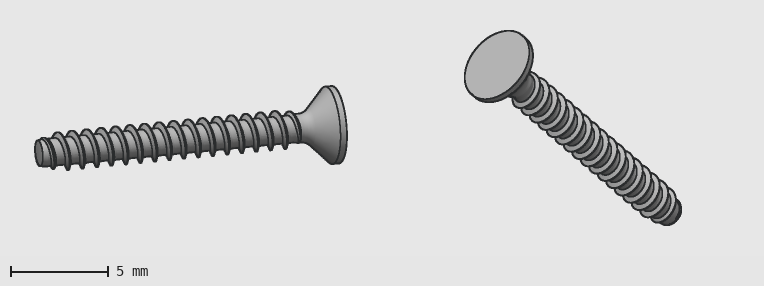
import cadquery as cq
import math

length = 16.0
head_diameter = 4.0

rim_height = 0.35
cone_slope = 45.0
neck_radius = 0.75
neck_fillet = 0.75
neck_end = 2.08
neck_taper = 0.25

core_diameter = 1.42
tip_radius = 0.67
tip_taper = 0.25
dome_height = 0.05

thread_start = 1.57
thread_end = 16.0
thread_turns = 18.5
ramp_turns = 1.5
start_angle = 90.0
crest_diameter = 2.0
crest_half_width = 0.02
lip_radius = 0.7
lip_width = 0.35
knee_radius = 0.74
faded_radius = 0.69
faded_lip_radius = 0.67
knee_width = 0.15
root_radius = 0.65
root_width = 0.18
tip_clearance = 0.1

head_radius = head_diameter / 2
core_radius = core_diameter / 2
crest_radius = crest_diameter / 2
pitch = (thread_end - thread_start) / thread_turns


def make_body():
    """Head, neck and shank revolved about Z, with the head on z = 0 and the tip at z = length."""
    slope = math.radians(cone_slope)
    cone_end_radius = neck_radius + neck_fillet * (1 - math.cos(slope))
    cone_end = rim_height + (head_radius - cone_end_radius) / math.tan(slope)
    fillet_end = cone_end + neck_fillet * math.sin(slope)
    fillet_middle = (
        neck_radius + neck_fillet * (1 - math.cos(slope / 2)),
        fillet_end - neck_fillet * math.sin(slope / 2),
    )
    tip_edge = length - dome_height
    dome_radius = (tip_radius**2 + dome_height**2) / (2 * dome_height)
    half_tip = tip_radius / 2
    dome_middle = (half_tip, length - dome_radius + math.sqrt(dome_radius**2 - half_tip**2))
    return (
        cq.Workplane("XZ")
        .moveTo(0, 0)
        .lineTo(head_radius, 0)
        .lineTo(head_radius, rim_height)
        .lineTo(cone_end_radius, cone_end)
        .threePointArc(fillet_middle, (neck_radius, fillet_end))
        .lineTo(neck_radius, neck_end)
        .lineTo(core_radius, neck_end + neck_taper)
        .lineTo(core_radius, tip_edge - tip_taper)
        .lineTo(tip_radius, tip_edge)
        .threePointArc(dome_middle, (0, length))
        .close()
        .revolve(360, (0, 0, 0), (0, 1, 0))
    )


def helix(start_turn, turns, start_corner, end_corner):
    """Right-handed helix along Z from one thread corner to another, each given as (radius, z offset)."""
    start_radius, start_offset = start_corner
    end_radius, end_offset = end_corner
    rise = turns * pitch + end_offset - start_offset
    center = cq.Vector(0, 0, thread_start + start_turn * pitch + start_offset)
    axis = cq.Vector(0, 0, 1)
    if start_radius == end_radius:
        wire = cq.Wire.makeHelix(rise / turns, rise, start_radius, center, axis)
    else:
        half_angle = math.atan2(end_radius - start_radius, rise)
        slant = rise / math.cos(half_angle)
        wire = cq.Wire.makeHelix(slant / turns, slant, start_radius, center, axis, math.degrees(half_angle))
    return wire.rotate(cq.Vector(0, 0, 0), axis, start_angle + 360 * start_turn)


def thread_profile(lip, knee, crest):
    """Corners of a thread tooth, as (radius, z offset) pairs, with a flat flare on the head side."""
    return [
        (root_radius, -lip_width),
        (lip, -lip_width),
        (knee, -knee_width),
        (crest, -crest_half_width),
        (crest, crest_half_width),
        (root_radius, root_width),
    ]


def thread_stretch(start_turn, turns, start_profile, end_profile):
    """Solid piece of thread that blends evenly from one tooth profile to another."""
    edges = [helix(start_turn, turns, *corners) for corners in zip(start_profile, end_profile)]
    sides = [cq.Face.makeRuledSurface(edges[i - 1], edges[i]) for i in range(len(edges))]
    caps = []
    for end in (0, 1):
        points = [edge.positionAt(end) for edge in edges]
        caps.append(cq.Face.makeFromWires(cq.Wire.makePolygon(points, close=True)))
    return cq.Solid.makeSolid(cq.Shell.makeShell(sides + caps))


def make_thread():
    """Pieces of a thread that swells at the neck, runs at full height and fades at the tip."""
    low = thread_profile(faded_lip_radius, faded_radius, faded_radius)
    full = thread_profile(lip_radius, knee_radius, crest_radius)
    fade_turn = thread_turns - ramp_turns
    stretches = [
        thread_stretch(0, ramp_turns, low, full),
        thread_stretch(ramp_turns, fade_turn - ramp_turns, full, full),
        thread_stretch(fade_turn, ramp_turns, full, low),
    ]
    limits = (
        cq.Workplane("XY")
        .workplane(offset=neck_end)
        .circle(head_radius)
        .extrude(length - tip_clearance - neck_end)
    )
    return [cq.Workplane(stretch).intersect(limits) for stretch in stretches]


screw = make_body()
for piece in make_thread():
    screw = screw.union(piece)

result = screw.rotate((0, 0, 0), (1, 0, 0), 90)